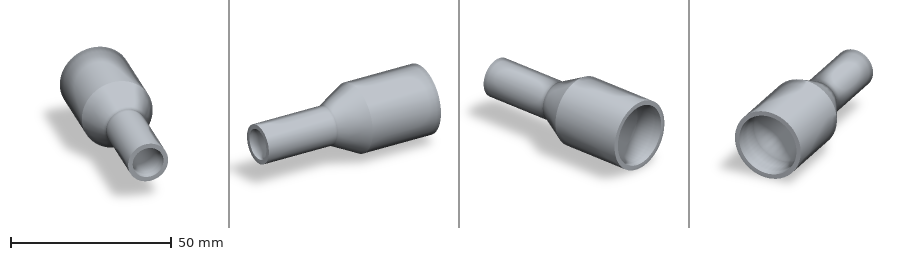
import cadquery as cq

total_length = 60.0

large_outer_diameter = 23.0
small_outer_diameter = 13.0
outer_taper_start = 25.0
outer_taper_length = 10.0

socket_diameter = 20.0
bore_diameter = 10.0
socket_depth = 10.0
inner_taper_length = 23.0


def tapered_shaft(large_diameter, small_diameter, taper_start, taper_length):
    """Full-length solid: large cylinder, taper and small cylinder along +X."""
    large_radius = large_diameter / 2
    small_radius = small_diameter / 2
    return (
        cq.Workplane("XY")
        .moveTo(0, 0)
        .lineTo(0, large_radius)
        .lineTo(taper_start, large_radius)
        .lineTo(taper_start + taper_length, small_radius)
        .lineTo(total_length, small_radius)
        .lineTo(total_length, 0)
        .close()
        .revolve(360, (0, 0, 0), (1, 0, 0))
    )


body = tapered_shaft(large_outer_diameter, small_outer_diameter, outer_taper_start, outer_taper_length)
cavity = tapered_shaft(socket_diameter, bore_diameter, socket_depth, inner_taper_length)

result = body.cut(cavity)